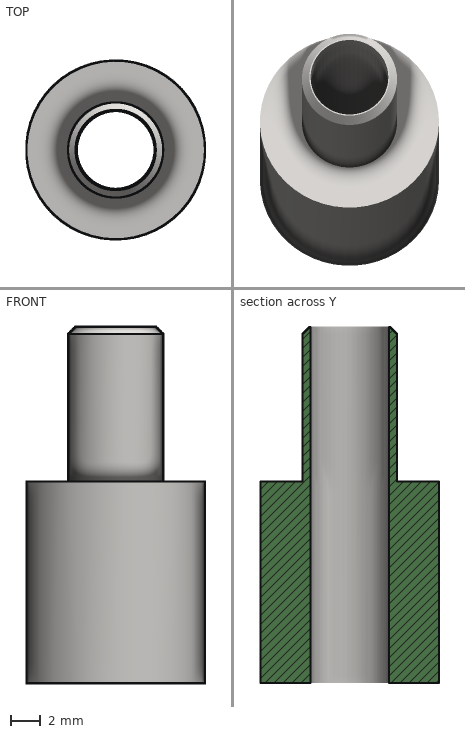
import cadquery as cq

total_height = 23.9
body_diameter = 12.0
body_height = 13.53
stem_diameter = 6.38
bore_diameter = 5.2
tip_chamfer = 0.5

stem_height = total_height - body_height

body = cq.Workplane("XY").circle(body_diameter / 2).extrude(body_height)

stem = (
    cq.Workplane("XY")
    .workplane(offset=body_height)
    .circle(stem_diameter / 2)
    .extrude(stem_height)
    .faces(">Z")
    .chamfer(tip_chamfer)
)

bore = cq.Workplane("XY").circle(bore_diameter / 2).extrude(total_height)

result = body.union(stem).cut(bore)